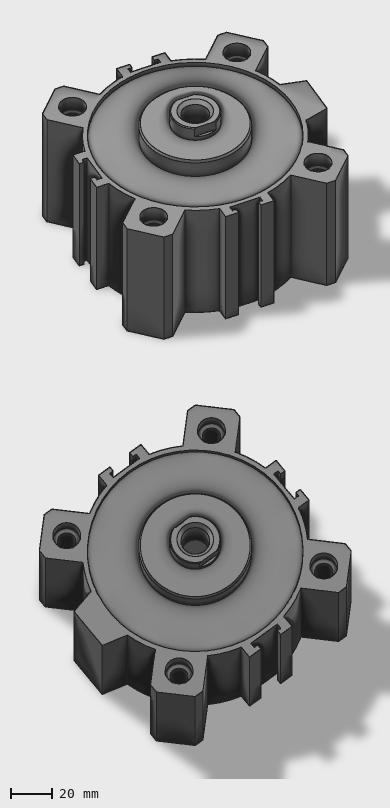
import cadquery as cq

housing_height = 67.0
recess_depth = 2.5
boss_top = 74.6
rod_top = 82.5

barrel_diameter = 110.0
recess_diameter = 105.0
boss_diameter = 55.0
boss_chamfer_height = 1.3
boss_chamfer_inset = 0.8
housing_half_width = 60.0

lug_width = 25.7
lug_reach = 75.3
bolt_offset = 44.6
bolt_hole_diameter = 9.0
counterbore_diameter = 13.5
counterbore_depth = 8.1
lug_angles = [45, 135, 225, 315]

rail_width = 26.2
slot_width = 16.3
slot_mouth_width = 12.1
slot_lip = 2.6
slot_depth = 5.3
rail_angles = [0, 180, 270]

port_reach = 66.0
port_outer_width = 22.4
port_root_width = 29.0
port_root_y = 52.9

rod_diameter = 25.0
rod_chamfer = 0.5
rod_floor = 12.6
flat_spacing = 22.0
flat_height = 5.5
thread_hole_diameter = 13.9
thread_mouth_diameter = 17.8
thread_mouth_angle = 90
thread_hole_depth = 18.9


def cylinder(diameter, bottom, top):
    """Upright cylinder on the Z axis."""
    return cq.Workplane("XY").workplane(offset=bottom).circle(diameter / 2).extrude(top - bottom)


def make_lugs():
    """Four diagonal lugs, their corners cut off by the square envelope of the housing."""
    lugs = cq.Workplane("XY")
    for angle in lug_angles:
        lug = (
            cq.Workplane("XY")
            .center(lug_reach / 2, 0)
            .rect(lug_reach, lug_width)
            .extrude(housing_height)
            .rotate((0, 0, 0), (0, 0, 1), angle)
        )
        lugs = lugs.add(lug)
    housing_width = 2 * housing_half_width
    envelope = cq.Workplane("XY").rect(housing_width, housing_width).extrude(housing_height)
    return lugs.combine().intersect(envelope)


def make_rail_block():
    """Solid rail pointing along +X, before its slot is cut."""
    return (
        cq.Workplane("XY")
        .center(housing_half_width / 2, 0)
        .rect(housing_half_width, rail_width)
        .extrude(housing_height)
    )


def make_slot():
    """T-shaped slot opening toward +X, over the full height."""
    floor_x = housing_half_width - slot_depth
    lip_x = housing_half_width - slot_lip
    return (
        cq.Workplane("XY")
        .moveTo(floor_x, -slot_width / 2)
        .lineTo(lip_x, -slot_width / 2)
        .lineTo(lip_x, -slot_mouth_width / 2)
        .lineTo(housing_half_width, -slot_mouth_width / 2)
        .lineTo(housing_half_width, slot_mouth_width / 2)
        .lineTo(lip_x, slot_mouth_width / 2)
        .lineTo(lip_x, slot_width / 2)
        .lineTo(floor_x, slot_width / 2)
        .close()
        .extrude(housing_height)
    )


def make_port_block():
    """Tapered block on the +Y side, reaching inward into the barrel."""
    return (
        cq.Workplane("XY")
        .moveTo(-port_outer_width / 2, port_reach)
        .lineTo(port_outer_width / 2, port_reach)
        .lineTo(port_root_width / 2, port_root_y)
        .lineTo(0, 0)
        .lineTo(-port_root_width / 2, port_root_y)
        .close()
        .extrude(housing_height)
    )


def make_housing():
    """Barrel with lugs, rails, port block and boss, bored for the rod."""
    body = cylinder(barrel_diameter, 0, housing_height)
    body = body.union(make_lugs()).union(make_port_block())
    for angle in rail_angles:
        body = body.union(make_rail_block().rotate((0, 0, 0), (0, 0, 1), angle))
    for angle in rail_angles:
        body = body.cut(make_slot().rotate((0, 0, 0), (0, 0, 1), angle))

    recess_floor = housing_height - recess_depth
    body = body.cut(cylinder(recess_diameter, recess_floor, housing_height))
    boss = (
        cylinder(boss_diameter, recess_floor, boss_top)
        .faces(">Z")
        .chamfer(boss_chamfer_height, boss_chamfer_inset)
    )
    body = body.union(boss)

    bolt_span = 2 * bolt_offset
    body = (
        body.faces(">Z")
        .workplane(origin=(0, 0, 0), offset=housing_height - boss_top)
        .rect(bolt_span, bolt_span, forConstruction=True)
        .vertices()
        .cboreHole(bolt_hole_diameter, counterbore_diameter, counterbore_depth)
    )

    return body.cut(cylinder(rod_diameter, rod_floor, boss_top))


def make_rod():
    """Piston rod with two wrench flats and a blind threaded hole."""
    rod = cylinder(rod_diameter, rod_floor, rod_top).faces(">Z").chamfer(rod_chamfer)

    flats = (
        cq.Workplane("XY")
        .workplane(offset=rod_top - flat_height)
        .rect(2 * rod_diameter, 2 * rod_diameter)
        .rect(flat_spacing, 2 * rod_diameter)
        .extrude(flat_height)
    )
    rod = rod.cut(flats)

    return rod.faces(">Z").workplane(origin=(0, 0, 0)).cskHole(
        thread_hole_diameter, thread_mouth_diameter, thread_mouth_angle, thread_hole_depth
    )


housing = make_housing()
rod = make_rod()

result = cq.Compound.makeCompound([housing.val(), rod.val()])